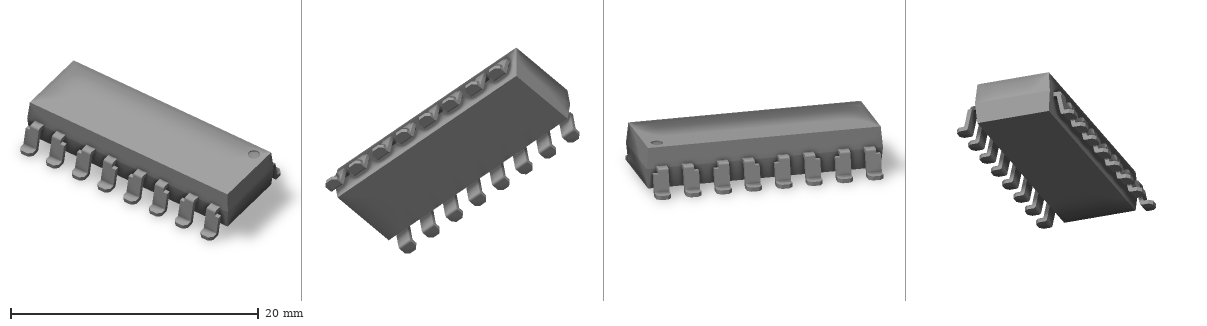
import cadquery as cq
import math

body_length = 19.8
body_width = 6.5
body_height = 3.5
standoff = 0.35
draft_angle = 5.0
parting_z = standoff + body_height / 2
face_inset = body_height / 2 * math.tan(math.radians(draft_angle))

mark_diameter = 1.0
mark_depth = 0.1
mark_edge_distance = 1.0

lead_count = 8
lead_pitch = 2.54
lead_span = 10.16
lead_width = 1.25
lead_thickness = 0.35
foot_length = 1.03
leg_angle = 12.0
outer_bend_radius = 0.2
inner_bend_radius = 0.1
toe_chamfer = 0.3
lead_embed = 0.5
lead_top_z = parting_z + lead_thickness / 2
shoulder_z = 1.85
shoulder_width = 0.39


def body_half(direction):
    """Half of the body, tapering away from the parting plane."""
    return (
        cq.Workplane("XY")
        .workplane(offset=parting_z)
        .rect(body_length, body_width)
        .workplane(offset=direction * body_height / 2)
        .rect(body_length - 2 * face_inset, body_width - 2 * face_inset)
        .loft(ruled=True)
    )


def make_body():
    """Complete body with the pin 1 mark."""
    mark_x = body_length / 2 - face_inset - mark_edge_distance
    mark_y = body_width / 2 - face_inset - mark_edge_distance
    mark = (
        cq.Workplane("XY")
        .workplane(offset=standoff + body_height - mark_depth)
        .center(mark_x, mark_y)
        .circle(mark_diameter / 2)
        .extrude(mark_depth)
    )
    return body_half(1).union(body_half(-1)).cut(mark)


def make_lead(shoulder_side):
    """Lead on the -Y side, centred on X = 0, with its shoulder at -X (-1) or +X (+1)."""
    lean = math.tan(math.radians(leg_angle))
    leg_run = lead_thickness / math.cos(math.radians(leg_angle))
    toe_y = -lead_span / 2
    heel_y = toe_y + foot_length
    root_y = -body_width / 2 + lead_embed
    lead_bottom_z = lead_top_z - lead_thickness

    foot_top_y = heel_y + lead_thickness * lean - leg_run
    knee_under_y = heel_y + lead_bottom_z * lean
    knee_top_y = heel_y + lead_top_z * lean - leg_run

    profile = [
        (toe_y, 0),
        (heel_y, 0),
        (knee_under_y, lead_bottom_z),
        (root_y, lead_bottom_z),
        (root_y, lead_top_z),
        (knee_top_y, lead_top_z),
        (foot_top_y, lead_thickness),
        (toe_y, lead_thickness),
    ]
    lead = cq.Workplane("YZ").polyline(profile).close().extrude(lead_width / 2, both=True)

    def bend_edge(y, z):
        return cq.selectors.NearestToPointSelector((0, y, z))

    for y, z in [(heel_y, 0), (knee_top_y, lead_top_z)]:
        lead = lead.edges(bend_edge(y, z)).fillet(outer_bend_radius)
    for y, z in [(foot_top_y, lead_thickness), (knee_under_y, lead_bottom_z)]:
        lead = lead.edges(bend_edge(y, z)).fillet(inner_bend_radius)

    lead = lead.faces("<Y").edges("|Z").chamfer(toe_chamfer)

    notch = cq.Workplane("XY").box(
        2 * shoulder_width, lead_span, lead_top_z, centered=(True, True, False)
    )
    return lead.cut(notch.translate((shoulder_side * lead_width / 2, 0, shoulder_z)))


def add_leads(body):
    """Both rows of leads, with the shoulder side alternating along each row."""
    part = body
    for index in range(lead_count):
        x = (index - (lead_count - 1) / 2) * lead_pitch
        shoulder_side = -1 if index % 2 == 0 else 1
        lead = make_lead(shoulder_side).translate((x, 0, 0))
        part = part.union(lead).union(lead.mirror("XZ"))
    return part


result = add_leads(make_body())